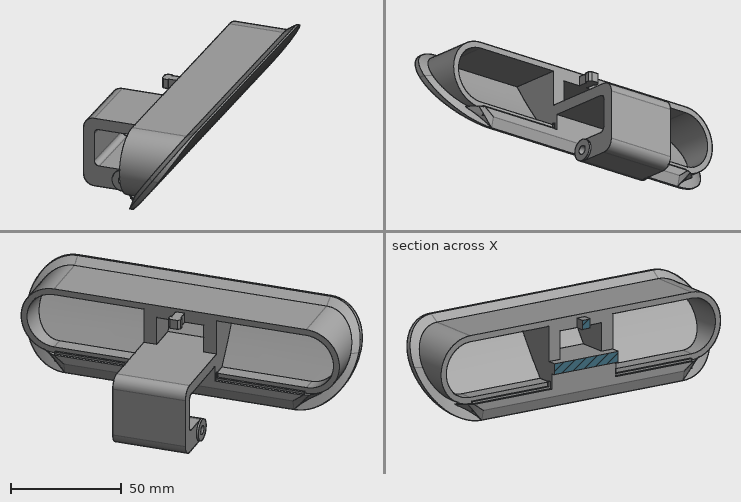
import cadquery as cq
import math

length = 159.6
tip_x = 72.3
top_z = 55.9
foot_z = 12.5
axis_z = 37.0

back_x = 40.4
end_center_y = 60.8
housing_radius = 16.0
wall = 2.9
rim_top_radius = top_z - axis_z
rim_bottom_radius = axis_z - foot_z
rim_edge = 1.1
rim_flare = 2.4
front_wall = 3.2
front_mid = (55.5, 30.3)
slant = (tip_x - back_x) / (top_z - foot_z)
ample = 31.9

bracket_width = 35.1
bracket_top_z = 33.5
bracket_thickness = 5.3
bend_inner_radius = 2.4
hinge_x = 19.3
hinge_radius = 5.1
hinge_hole_diameter = 4.1
boss_height = 1.0

recess_width = 22.7
recess_top_z = 47.0
catch_bottom_z = 47.0
catch_height = 4.5
catch_x = 32.0
catch_head_length = 3.2
catch_head_width = 5.7
catch_stem_width = 4.3
catch_chamfer = 1.1
plate_x = 38.0
plate_depth = 1.3
plate_top_half = 60.2
plate_seat_half = 62.7
plate_root_half = 67.0
plate_root_depth = 2.7
plate_bottom_half = length / 2 - rim_bottom_radius
plate_bottom_z = 17.4
plate_top_z = axis_z - housing_radius
ledge_top_z = 22.0
lug_top_z = 24.4
lug_reach = 0.6


def rounded_outline(x, half_length, upper_radius, lower_radius):
    """Long outline in a YZ plane, with separate upper and lower corner radii."""
    diagonal = math.sqrt(0.5)
    upper_y = half_length - upper_radius
    lower_y = half_length - lower_radius
    upper_z = axis_z + upper_radius
    lower_z = axis_z - lower_radius
    upper_bend = (upper_y + upper_radius * diagonal, axis_z + upper_radius * diagonal)
    lower_bend = (lower_y + lower_radius * diagonal, axis_z - lower_radius * diagonal)
    return (
        cq.Workplane("YZ", origin=(x, 0, 0))
        .moveTo(-upper_y, upper_z)
        .lineTo(upper_y, upper_z)
        .threePointArc(upper_bend, (half_length, axis_z))
        .threePointArc(lower_bend, (lower_y, lower_z))
        .lineTo(-lower_y, lower_z)
        .threePointArc((-lower_bend[0], lower_bend[1]), (-half_length, axis_z))
        .threePointArc((-upper_bend[0], upper_bend[1]), (-upper_y, upper_z))
        .close()
    )


def housing_outline(x, inset=0.0):
    radius = housing_radius - inset
    return rounded_outline(x, end_center_y + radius, radius, radius)


def rim_outline(x):
    return rounded_outline(x, length / 2, rim_top_radius, rim_bottom_radius)


def block(x0, x1, width, z0, z1):
    """Box centred on Y = 0."""
    return cq.Workplane("XY").box(x1 - x0, width, z1 - z0, centered=(False, True, False)).translate((x0, 0, z0))


def behind_front(depth=0.0):
    """Everything behind the bowed front surface, or behind its copy set back along X."""
    return (
        cq.Workplane("XZ", origin=(-depth, length, 0))
        .moveTo(tip_x, top_z)
        .threePointArc(front_mid, (back_x, foot_z))
        .lineTo(0, foot_z)
        .lineTo(0, top_z)
        .close()
        .extrude(2 * length)
    )


def rim():
    """Flared rim, built upright and then sheared to follow the slanted front."""
    edge_x = tip_x - rim_edge
    inner = housing_outline(edge_x - rim_flare).wires().val()
    outer = rim_outline(edge_x).wires().val()
    flare = cq.Workplane(cq.Solid.makeLoft([inner, outer], True))
    upright = flare.union(rim_outline(edge_x).extrude(ample))
    shear = cq.Matrix([[1, 0, slant, -slant * top_z], [0, 1, 0, 0], [0, 0, 1, 0]])
    return cq.Workplane(upright.val().transformGeometry(shear))


def lower_plate():
    """Bevelled plate closing the foot of the housing, widening toward the front."""
    def outline(x, top_half, bottom_z):
        return cq.Workplane("YZ", origin=(x, 0, 0)).polyline([
            (-top_half, plate_top_z),
            (top_half, plate_top_z),
            (plate_bottom_half, bottom_z),
            (-plate_bottom_half, bottom_z),
        ]).close()

    seat_x = plate_x + plate_depth
    root_x = back_x + plate_root_depth
    back = outline(plate_x, plate_top_half, plate_bottom_z).wires().val()
    seat = outline(seat_x, plate_seat_half, foot_z).wires().val()
    root = outline(root_x, plate_root_half, foot_z)
    bevel = cq.Workplane(cq.Solid.makeLoft([back, seat], True))
    widening = cq.Workplane(cq.Solid.makeLoft([seat, root.wires().val()], True))
    return bevel.union(widening).union(root.extrude(ample))


def ledge():
    """Narrow step above the plate and the short lugs beside the bracket."""
    step_x = plate_x + plate_depth
    step = block(step_x, back_x + wall / 2, 2 * plate_top_half, plate_bottom_z, ledge_top_z)
    lug_width = bracket_width + 2 * lug_reach
    lugs = block(step_x, back_x + wall / 2, lug_width, plate_bottom_z, lug_top_z)
    return step.union(lugs)


def pockets():
    cavity = housing_outline(back_x, wall).extrude(ample)
    cavity = cavity.cut(block(0, tip_x, bracket_width, 0, top_z))
    recess = block(back_x, tip_x, recess_width, bracket_top_z, recess_top_z)
    return cavity.union(recess).intersect(behind_front(front_wall))


def head():
    body = housing_outline(back_x).extrude(ample)
    web = block(plate_x, tip_x, bracket_width, plate_bottom_z, bracket_top_z)
    body = body.union(rim()).union(lower_plate()).union(ledge()).union(web)
    return body.intersect(behind_front()).cut(pockets())


def bracket():
    arm_top = 2 * hinge_radius
    gap_height = bracket_top_z - bracket_thickness - arm_top
    bar = block(0, back_x, bracket_width, bracket_top_z - bracket_thickness, bracket_top_z)
    back = block(0, bracket_thickness + gap_height / 2, bracket_width, 0, bracket_top_z)
    arm = block(0, hinge_x, bracket_width, 0, arm_top)
    hook = bar.union(back).union(arm).edges("|Y and <X").fillet(bracket_thickness)
    gap = block(bracket_thickness, back_x, bracket_width, arm_top, arm_top + gap_height)
    hook = hook.cut(gap.edges("|Y and <X").fillet(bend_inner_radius))
    barrel_length = bracket_width + 2 * boss_height
    hinge = cq.Workplane("XZ", origin=(hinge_x, barrel_length / 2, hinge_radius))
    barrel = hinge.circle(hinge_radius).extrude(barrel_length)
    hole = hinge.circle(hinge_hole_diameter / 2).extrude(barrel_length)
    return hook.union(barrel).cut(hole)


def catch():
    """Small catch with a wider head, joined to the wall above the recess."""
    top = catch_bottom_z + catch_height
    nose = block(catch_x, catch_x + catch_head_length, catch_head_width, catch_bottom_z, top)
    nose = nose.edges("|Z and <X").chamfer(catch_chamfer)
    stem = block(catch_x + catch_head_length / 2, back_x + wall, catch_stem_width, catch_bottom_z, top)
    return nose.union(stem)


result = head().union(bracket()).union(catch())